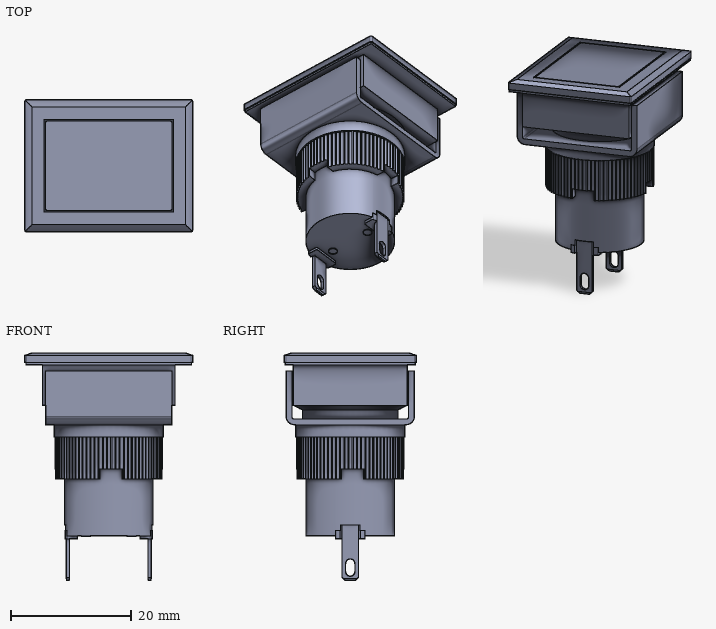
import cadquery as cq
import math


bezel_length = 28.0
bezel_width = 22.04
bezel_top = 1.97
bezel_rim_fillet = 0.3
bevel_run = 1.2
bevel_drop = 0.4
gasket_thickness = 0.4
gasket_inset = 0.17
window_length = 21.6
window_width = 15.4
window_depth = 1.0
lens_gap = 0.26
lens_corner_radius = 0.3

housing_length = 22.1
housing_width = 19.0
housing_depth = 6.75
cone_height = 0.75

bracket_length = 21.0
bracket_width = 21.4
bracket_thickness = 1.0
bracket_top = -1.0
bracket_bottom = -10.0
bracket_outer_radius = 1.4
bracket_inner_radius = 0.25
bracket_lip_radius = 0.15

washer_radius = 9.1
washer_bottom = -12.0
nut_radius = 9.0
nut_bottom = -19.0
flute_count = 80
flute_radius = 0.26
notch_width = 3.8
notch_height = 1.65
notch_count = 4
notch_angle = 2.7

neck_radius = 8.0
barrel_radius = 7.4
barrel_bottom = -28.5
pip_spacing = 7.6
pip_diameter = 1.5
pip_height = 0.15

foot_inner_x = 5.2
foot_radius = 7.45
foot_width = 4.98
foot_top = -27.65
foot_bottom = -29.0
foot_fillet = 0.2
slot_top = -26.7
slot_mouth_width = 3.48

terminal_inner_x = 6.5
terminal_thickness = 0.6
terminal_width = 2.8
terminal_bottom = -35.97
tip_chamfer = 0.55
tip_taper_run = 0.12
tip_taper_height = 0.35
eye_width = 1.5
eye_length = 2.85
eye_center_z = -33.8

housing_bottom = -housing_depth
cone_bottom = housing_bottom - cone_height
cone_radius = housing_width / 2


def block(length, width, bottom, top):
    """A box centred on the Z axis between two heights."""
    return cq.Workplane("XY").workplane(offset=bottom).rect(length, width).extrude(top - bottom)


def disc(radius, bottom, top):
    """A cylinder on the Z axis between two heights."""
    return cq.Workplane("XY").workplane(offset=bottom).circle(radius).extrude(top - bottom)


def make_bezel():
    """Frame with a bevelled top edge and a recess for the lens."""
    rim_top = bezel_top - bevel_drop
    rim = block(bezel_length, bezel_width, gasket_thickness, rim_top)
    bevel = (
        cq.Workplane("XY")
        .workplane(offset=rim_top)
        .rect(bezel_length, bezel_width)
        .workplane(offset=bevel_drop)
        .rect(bezel_length - 2 * bevel_run, bezel_width - 2 * bevel_run)
        .loft(ruled=True)
    )
    rounded = block(bezel_length, bezel_width, gasket_thickness, bezel_top)
    rounded = rounded.edges("|Z").fillet(bezel_rim_fillet)
    recess = block(window_length, window_width, bezel_top - window_depth, bezel_top)
    return rim.union(bevel).intersect(rounded).cut(recess)


def make_lens():
    """Plate on the floor of the bezel recess, flush with the bezel face."""
    length = window_length - 2 * lens_gap
    width = window_width - 2 * lens_gap
    plate = block(length, width, bezel_top - window_depth, bezel_top)
    return plate.edges("|Z").fillet(lens_corner_radius)


def make_gasket():
    """Flat sheet between the bezel and the panel."""
    return block(bezel_length - 2 * gasket_inset, bezel_width - 2 * gasket_inset, 0, gasket_thickness)


def make_housing():
    """Rectangular box that narrows through a cone to the barrel neck."""
    box = block(housing_length, housing_width, housing_bottom, 0)
    cone = (
        cq.Workplane("XY")
        .workplane(offset=cone_bottom)
        .circle(neck_radius)
        .workplane(offset=cone_height)
        .circle(cone_radius)
        .loft(ruled=True)
    )
    return box.union(cone)


def make_bracket():
    """U-shaped strap around the housing, with a hole for the neck in its web."""
    height = bracket_top - bracket_bottom
    outer = block(bracket_length, bracket_width, bracket_bottom, bracket_top)
    outer = outer.edges("|X and <Z").fillet(bracket_outer_radius)
    inner = block(bracket_length, bracket_width - 2 * bracket_thickness, 0, height)
    inner = inner.edges("|X and <Z").fillet(bracket_inner_radius)
    inner = inner.translate((0, 0, bracket_bottom + bracket_thickness))
    strap = outer.cut(inner)
    inner_half = bracket_width / 2 - bracket_thickness
    lip_reach = inner_half + bracket_thickness / 2
    lips = cq.selectors.BoxSelector(
        (-bracket_length, -lip_reach, bracket_top - bracket_thickness),
        (bracket_length, lip_reach, bracket_top + bracket_thickness),
    )
    strap = strap.edges("|X").edges(lips).fillet(bracket_lip_radius)
    return strap.cut(disc(neck_radius, bracket_bottom, bracket_top))


def make_washer():
    """Plain ring between the bracket and the nut."""
    hole = disc(neck_radius, washer_bottom, bracket_bottom)
    return disc(washer_radius, washer_bottom, bracket_bottom).cut(hole)


def nut_outline():
    """Circle broken by evenly spaced round flutes."""
    pitch = 2 * math.pi / flute_count
    half_flute = 2 * math.asin(flute_radius / (2 * nut_radius))
    floor_radius = nut_radius - flute_radius

    def point(radius, angle):
        return (radius * math.cos(angle), radius * math.sin(angle))

    start = math.radians(notch_angle) - pitch / 2
    outline = cq.Workplane("XY").workplane(offset=nut_bottom).moveTo(*point(nut_radius, start - half_flute))
    for index in range(flute_count):
        center = start + index * pitch
        land = center + pitch / 2
        outline = outline.threePointArc(point(floor_radius, center), point(nut_radius, center + half_flute))
        land_end = center + pitch - half_flute
        outline = outline.threePointArc(point(nut_radius, land), point(nut_radius, land_end))
    return outline.close()


def make_nut():
    """Knurled ring nut with wrench notches in its lower face."""
    nut = nut_outline().extrude(washer_bottom - nut_bottom)
    nut = nut.cut(disc(barrel_radius, nut_bottom, washer_bottom))
    for index in range(notch_count):
        notch = (
            block(2 * nut_radius, notch_width, nut_bottom, nut_bottom + notch_height)
            .translate((nut_radius, 0, 0))
            .rotate((0, 0, 0), (0, 0, 1), notch_angle + index * 360 / notch_count)
        )
        nut = nut.cut(notch)
    return nut


def make_foot():
    """Pad on the +X side that carries a terminal; its outer face is round."""
    pad = block(foot_radius - foot_inner_x, foot_width, foot_bottom, foot_top)
    pad = pad.translate(((foot_radius + foot_inner_x) / 2, 0, 0))
    pad = pad.intersect(disc(foot_radius, foot_bottom, foot_top))
    return pad.edges("|Z").fillet(foot_fillet)


def make_slot():
    """Terminal slot on the +X side, flaring from the terminal to the barrel surface."""
    return (
        cq.Workplane("XY")
        .workplane(offset=foot_bottom)
        .moveTo(terminal_inner_x, -terminal_width / 2)
        .lineTo(foot_radius, -slot_mouth_width / 2)
        .lineTo(foot_radius, slot_mouth_width / 2)
        .lineTo(terminal_inner_x, terminal_width / 2)
        .close()
        .extrude(slot_top - foot_bottom)
    )


def both_sides(body):
    """The body and its half-turn copy about the Z axis."""
    return [body.rotate((0, 0, 0), (0, 0, 1), angle) for angle in (0, 180)]


def make_barrel():
    """Neck and barrel with terminal feet, terminal slots and two low pips."""
    barrel = disc(neck_radius, washer_bottom, cone_bottom)
    barrel = barrel.union(disc(barrel_radius, barrel_bottom, washer_bottom))
    pip = disc(pip_diameter / 2, barrel_bottom - pip_height, barrel_bottom)
    pip = pip.translate((pip_spacing / 2, 0, 0))
    for feature in both_sides(make_foot()) + both_sides(pip):
        barrel = barrel.union(feature)
    for slot in both_sides(make_slot()):
        barrel = barrel.cut(slot)
    return barrel


def make_terminal():
    """Solder tag on the +X side with an oblong eye and a tapered tip."""
    blade = block(terminal_thickness, terminal_width, terminal_bottom, slot_top)
    blade = blade.edges("|X and <Z").chamfer(tip_chamfer)
    taper_top = terminal_bottom + tip_taper_height
    envelope = (
        cq.Workplane("XZ")
        .moveTo(-terminal_thickness / 2, slot_top)
        .lineTo(-terminal_thickness / 2, taper_top)
        .lineTo(-terminal_thickness / 2 + tip_taper_run, terminal_bottom)
        .lineTo(terminal_thickness / 2 - tip_taper_run, terminal_bottom)
        .lineTo(terminal_thickness / 2, taper_top)
        .lineTo(terminal_thickness / 2, slot_top)
        .close()
        .extrude(terminal_width / 2, both=True)
    )
    eye = (
        cq.Workplane("YZ")
        .center(0, eye_center_z)
        .slot2D(eye_length, eye_width, 90)
        .extrude(terminal_thickness, both=True)
    )
    tag = blade.intersect(envelope).cut(eye)
    return tag.translate((terminal_inner_x + terminal_thickness / 2, 0, 0))


bezel = make_bezel()
lens = make_lens()
gasket = make_gasket()
housing = make_housing()
bracket = make_bracket()
washer = make_washer()
nut = make_nut()
barrel = make_barrel()
terminals = both_sides(make_terminal())

result = cq.Compound.makeCompound(
    [
        bezel.val(),
        lens.val(),
        gasket.val(),
        housing.val(),
        bracket.val(),
        washer.val(),
        nut.val(),
        barrel.val(),
        *[terminal.val() for terminal in terminals],
    ]
)